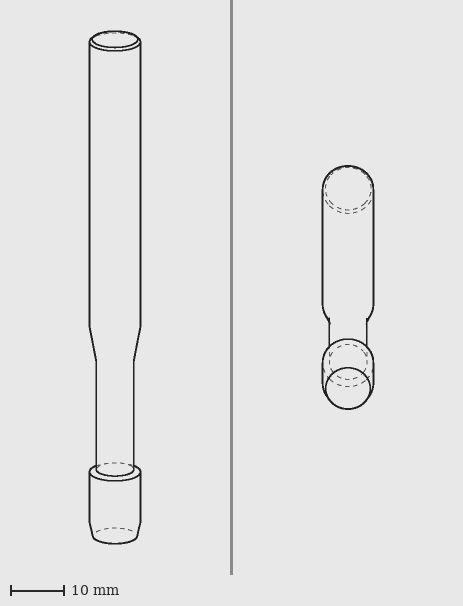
import cadquery as cq

total_length = 100.0
body_diameter = 9.6
neck_diameter = 7.1

head_length = 13.4
head_shoulder_height = 0.5
lead_length = 2.7
lead_tip_diameter = 8.4

neck_length = 21.8
taper_length = 6.9
top_chamfer = 0.5

body_radius = body_diameter / 2
neck_radius = neck_diameter / 2
neck_top = head_length + neck_length
taper_top = neck_top + taper_length


def turned(outline):
    """Revolve (radius, height) points, closed along the axis, about Z."""
    profile = cq.Workplane("XZ").polyline(outline).close()
    return profile.revolve(360, (0, 0, 0), (0, 1, 0))


def make_cutting_head():
    """Cylinder with a conical lead below and a sloping shoulder above."""
    return turned([
        (0, 0),
        (lead_tip_diameter / 2, 0),
        (body_radius, lead_length),
        (body_radius, head_length - head_shoulder_height),
        (neck_radius, head_length),
        (0, head_length),
    ])


def make_shank():
    """Slim neck that tapers out to the full shank, chamfered at the top."""
    return turned([
        (0, head_length),
        (neck_radius, head_length),
        (neck_radius, neck_top),
        (body_radius, taper_top),
        (body_radius, total_length - top_chamfer),
        (body_radius - top_chamfer, total_length),
        (0, total_length),
    ])


cutting_head = make_cutting_head()
shank = make_shank()

result = cq.Compound.makeCompound([cutting_head.val(), shank.val()])